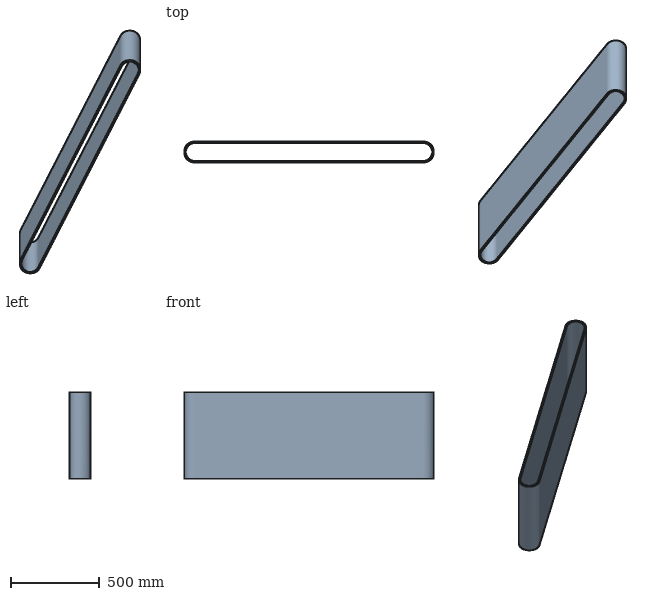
import cadquery as cq

length = 1411.2
width = 120.0
height = 489.6
wall = 10.0

inner_length = length - 2 * wall
inner_width = width - 2 * wall


def stadium_prism(overall_length, overall_width):
    """Upright prism with straight long sides and full half-round ends."""
    return cq.Workplane("XY").slot2D(overall_length, overall_width).extrude(height)


result = stadium_prism(length, width).cut(stadium_prism(inner_length, inner_width))